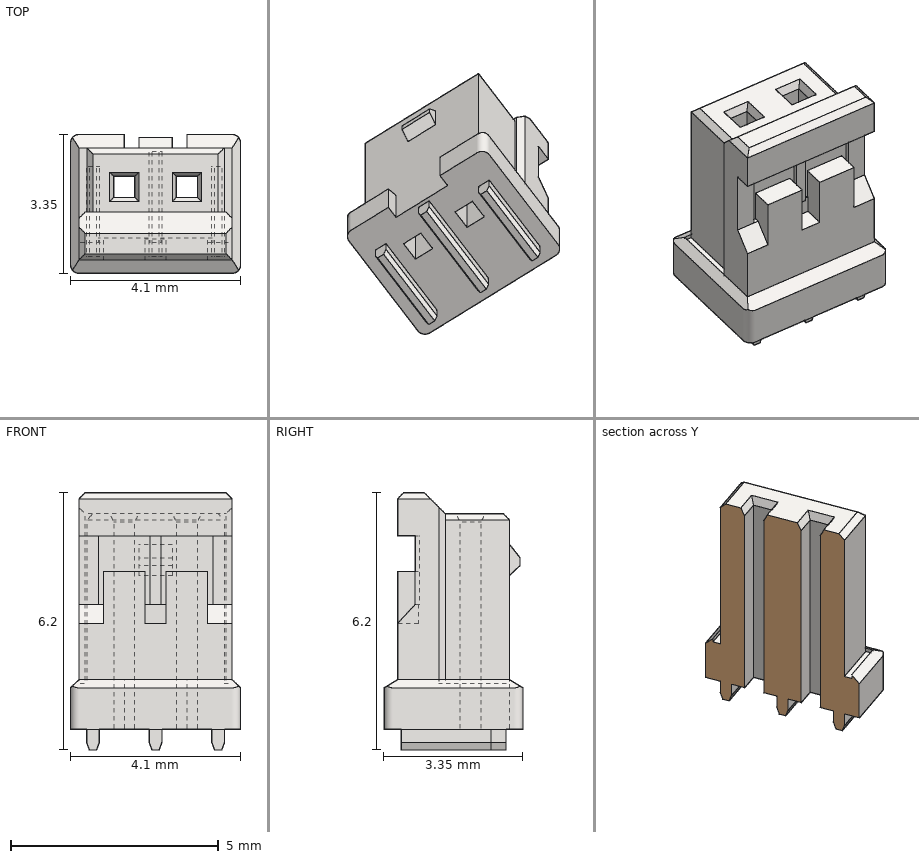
import cadquery as cq

TOTAL_HEIGHT = 6.2
FLANGE_BOTTOM = 0.5
FLANGE_EDGE_TOP = 1.5
FLANGE_TOP = 1.7
BODY_TOP = 5.69

FLANGE_WIDTH = 4.1
FLANGE_DEPTH = 3.35
FLANGE_CORNER_RADIUS = 0.21
FLANGE_NOTCH_WIDTH = 1.505
FLANGE_POCKET_DEPTH = 0.1

FRONT_WIDTH = 3.69
REAR_WIDTH = 3.31
BODY_DEPTH = 2.7
FRONT_Y = -BODY_DEPTH / 2
REAR_Y = BODY_DEPTH / 2
STEP_Y = -0.2
EDGE_CHAMFER = 0.15

WINDOW_BOTTOM_FRONT = 3.05
WINDOW_TOP = 5.16
WINDOW_DEPTH = 0.42
RAMP_RISE = 0.45
TAB_WIDTH = 1.0
TAB_TOP = 4.3
RECESS_WIDTH = 1.245
RECESS_DEPTH = 0.11
TAB_GAP_DEPTH = 0.5

PITCH = 1.505
HOLE_Y = 0.41
HOLE_SIZE = 0.5
FUNNEL_SIZE = 0.7
FUNNEL_DEPTH = 0.2

LATCH_WIDTH = 0.805
LATCH_PROJECTION = 0.255
LATCH_BOTTOM = 4.205
LATCH_FACE_BOTTOM = 4.445
LATCH_FACE_TOP = 4.63
LATCH_TOP = 4.955

PIN_WIDTH = 0.31
PIN_TIP_WIDTH = 0.175
PIN_TAPER_HEIGHT = 0.185
PIN_FRONT_Y = -1.265
OUTER_PIN_REAR_Y = 0.905
MIDDLE_PIN_REAR_Y = 1.265

CONTACT_X = (-PITCH / 2, PITCH / 2)


def block(x_range, y_range, z_range):
    """Box given by its lower and upper limits along each axis."""
    sizes = [high - low for low, high in (x_range, y_range, z_range)]
    corner = (x_range[0], y_range[0], z_range[0])
    return cq.Workplane("XY").box(*sizes, centered=False).translate(corner)


def centred_block(width, y_range, z_range, x=0.0):
    """Box of the given width centred on x."""
    return block((x - width / 2, x + width / 2), y_range, z_range)


def side_profile(points, width):
    """Outline of (y, z) points extruded to a width centred on the YZ plane."""
    outline = cq.Workplane("YZ").polyline(points).close()
    return outline.extrude(width / 2, both=True)


def make_flange():
    """Rounded base plate with a sloped rim, a shallow pocket inside it and a notch at the rear."""
    plate = (
        cq.Workplane("XY", origin=(0, 0, FLANGE_BOTTOM))
        .rect(FLANGE_WIDTH, FLANGE_DEPTH)
        .extrude(FLANGE_TOP - FLANGE_BOTTOM)
        .edges("|Z")
        .fillet(FLANGE_CORNER_RADIUS)
    )
    lower_block = centred_block(
        FLANGE_WIDTH,
        (-FLANGE_DEPTH / 2, FLANGE_DEPTH / 2),
        (FLANGE_BOTTOM, FLANGE_EDGE_TOP),
    )
    rim = (
        cq.Workplane("XY", origin=(0, 0, FLANGE_EDGE_TOP))
        .rect(FLANGE_WIDTH, FLANGE_DEPTH)
        .workplane(offset=FLANGE_TOP - FLANGE_EDGE_TOP)
        .rect(FRONT_WIDTH, BODY_DEPTH)
        .loft(ruled=True)
    )
    notch = centred_block(FLANGE_NOTCH_WIDTH, (REAR_Y, FLANGE_DEPTH / 2), (FLANGE_BOTTOM, FLANGE_TOP))
    pocket = centred_block(
        FRONT_WIDTH,
        (FRONT_Y, REAR_Y),
        (FLANGE_TOP - FLANGE_POCKET_DEPTH, FLANGE_TOP),
    )
    return plate.intersect(lower_block.union(rim)).cut(notch).cut(pocket)


def make_front_part():
    """Wide front part, rising to a chamfered ridge above the rear part."""
    ridge_rear_y = STEP_Y - (TOTAL_HEIGHT - BODY_TOP)
    profile = [
        (FRONT_Y, FLANGE_BOTTOM),
        (STEP_Y, FLANGE_BOTTOM),
        (STEP_Y, BODY_TOP),
        (ridge_rear_y, TOTAL_HEIGHT),
        (FRONT_Y, TOTAL_HEIGHT),
    ]
    body = side_profile(profile, FRONT_WIDTH)
    body = body.faces(">Z").edges("<Y or <X or >X").chamfer(EDGE_CHAMFER)
    return body.edges("|Z and >Y").chamfer(EDGE_CHAMFER)


def make_rear_part():
    """Narrow rear part with its three free top edges chamfered."""
    body = centred_block(REAR_WIDTH, (STEP_Y - EDGE_CHAMFER, REAR_Y), (FLANGE_BOTTOM, BODY_TOP))
    return body.faces(">Z").edges(">Y or <X or >X").chamfer(EDGE_CHAMFER)


def make_window():
    """Cutter for the front window, leaving the two tabs standing in it."""
    back_y = FRONT_Y + WINDOW_DEPTH
    recess_y = back_y + RECESS_DEPTH
    floor_z = WINDOW_BOTTOM_FRONT + RAMP_RISE
    profile = [
        (FRONT_Y, WINDOW_BOTTOM_FRONT),
        (back_y, floor_z),
        (back_y, WINDOW_TOP),
        (FRONT_Y, WINDOW_TOP),
    ]
    window = side_profile(profile, FRONT_WIDTH)
    for x in CONTACT_X:
        window = window.union(centred_block(RECESS_WIDTH, (back_y, recess_y), (floor_z, WINDOW_TOP), x))
    gap_width = PITCH - TAB_WIDTH
    gap_y = FRONT_Y + TAB_GAP_DEPTH
    window = window.union(centred_block(gap_width, (FRONT_Y, gap_y), (WINDOW_BOTTOM_FRONT, floor_z)))
    for x in CONTACT_X:
        window = window.cut(centred_block(TAB_WIDTH, (FRONT_Y, recess_y), (WINDOW_BOTTOM_FRONT, TAB_TOP), x))
    return window


def make_contact_hole(x):
    """Cutter for a square through hole with a tapered mouth."""
    hole = centred_block(HOLE_SIZE, (HOLE_Y - HOLE_SIZE / 2, HOLE_Y + HOLE_SIZE / 2), (0, BODY_TOP), x)
    funnel = (
        cq.Workplane("XY", origin=(x, HOLE_Y, BODY_TOP))
        .rect(FUNNEL_SIZE, FUNNEL_SIZE)
        .workplane(offset=-FUNNEL_DEPTH)
        .rect(HOLE_SIZE, HOLE_SIZE)
        .loft(ruled=True)
    )
    return hole.union(funnel)


def make_latch():
    """Wedge-shaped latch on the rear face."""
    tip_y = REAR_Y + LATCH_PROJECTION
    profile = [
        (REAR_Y, LATCH_BOTTOM),
        (tip_y, LATCH_FACE_BOTTOM),
        (tip_y, LATCH_FACE_TOP),
        (REAR_Y, LATCH_TOP),
    ]
    return side_profile(profile, LATCH_WIDTH)


def make_pin(x, rear_y):
    """Blade under the flange, tapered across its width towards the tip."""
    half_width = PIN_WIDTH / 2
    half_tip = PIN_TIP_WIDTH / 2
    profile = [
        (-half_width, FLANGE_BOTTOM),
        (-half_width, PIN_TAPER_HEIGHT),
        (-half_tip, 0),
        (half_tip, 0),
        (half_width, PIN_TAPER_HEIGHT),
        (half_width, FLANGE_BOTTOM),
    ]
    blade = cq.Workplane("XZ").polyline(profile).close().extrude(rear_y - PIN_FRONT_Y)
    return blade.translate((x, rear_y, 0))


result = make_flange().union(make_front_part()).union(make_rear_part()).union(make_latch())
result = result.cut(make_window())
for contact_x in CONTACT_X:
    result = result.cut(make_contact_hole(contact_x))
for pin_x, pin_rear_y in ((-PITCH, OUTER_PIN_REAR_Y), (0, MIDDLE_PIN_REAR_Y), (PITCH, OUTER_PIN_REAR_Y)):
    result = result.union(make_pin(pin_x, pin_rear_y))